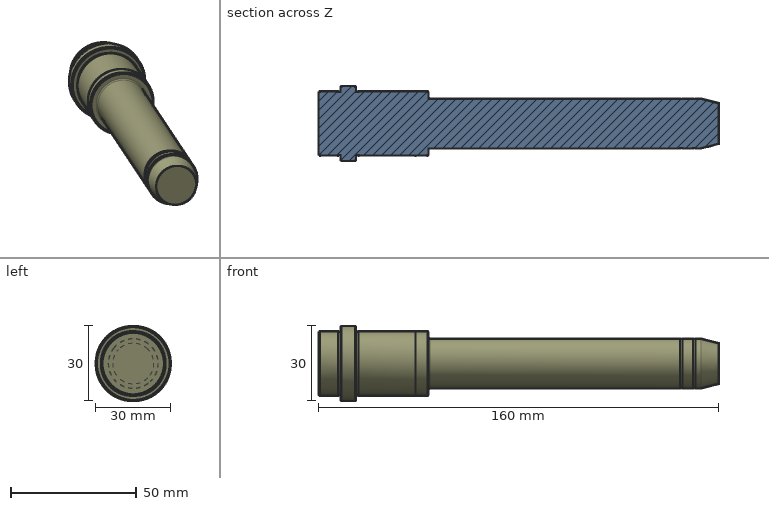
import cadquery as cq

total_length = 160.0
collar_start = 8.8
collar_width = 6.2
collar_end = collar_start + collar_width
lead_start = 38.7
head_end = 44.0
ring_groove_starts = (144.5, 149.6)
taper_start = 152.8

collar_radius = 30.0 / 2
head_radius = 26.0 / 2
shaft_radius = 20.0 / 2
tip_radius = 16.3 / 2

relief_width = 1.0
relief_depth = 0.2
lead_step = 0.03
ring_groove_width = 1.0
ring_groove_depth = 0.2

face_chamfer = 0.6
edge_break = 0.5
root_fillet = 0.5


def cylinder(start, end, radius):
    """Solid cylinder on the X axis between two axial positions."""
    return cq.Workplane("YZ").workplane(offset=start).circle(radius).extrude(end - start)


def ring_cut(start, width, outer_radius, depth):
    """Ring that removes a square groove from a cylinder of the given radius."""
    end = start + width
    return cylinder(start, end, outer_radius).cut(cylinder(start, end, outer_radius - depth))


def head():
    """Head with a slightly reduced lead-in and shallow reliefs on both sides of the collar."""
    body = cylinder(0, lead_start, head_radius).faces("<X").chamfer(face_chamfer)
    lead_in = cylinder(lead_start, head_end, head_radius - lead_step).faces(">X").chamfer(edge_break)
    body = body.union(lead_in)
    for start in (collar_start - relief_width, collar_end):
        body = body.cut(ring_cut(start, relief_width, head_radius, relief_depth))
    return body


def collar():
    """Locating collar with both rims broken."""
    return cylinder(collar_start, collar_end, collar_radius).faces("<X or >X").chamfer(edge_break)


def shaft():
    """Revolved shaft with a filleted root, a tapered tip and two narrow ring grooves."""
    profile = (
        cq.Workplane("XY")
        .moveTo(head_end, 0)
        .lineTo(head_end, shaft_radius + root_fillet)
        .radiusArc((head_end + root_fillet, shaft_radius), -root_fillet)
        .lineTo(taper_start, shaft_radius)
        .lineTo(total_length, tip_radius)
        .lineTo(total_length, 0)
        .close()
    )
    body = profile.revolve(360, (0, 0, 0), (1, 0, 0))
    for start in ring_groove_starts:
        body = body.cut(ring_cut(start, ring_groove_width, shaft_radius, ring_groove_depth))
    return body


result = head().union(collar()).union(shaft())